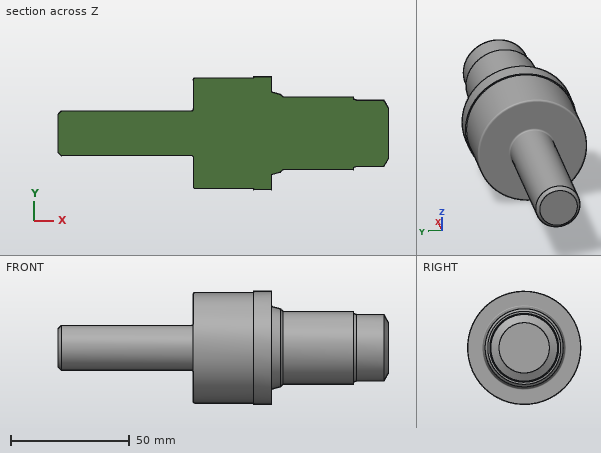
import cadquery as cq
import math

total_length = 139.7

shaft_radius = 9.525
shaft_length = 57.15
shaft_end_chamfer = 1.45
shaft_root_fillet = 0.7

body_radius = 23.42
body_length = 25.5
body_edge_fillet = 0.8
flange_radius = 23.94
flange_length = 7.6

collar_root_radius = 17.53
collar_tip_radius = 16.5
collar_length = 3.75
collar_root_fillet = 0.4

seat_radius = 15.42
seat_length = 30.9
collar_to_seat_length = 1.15
journal_radius = 14.1
neck_length = 1.25
neck_angle = 20.0
journal_chamfer_length = 2.0
journal_chamfer_angle = 60.0

shaft_end_x = -total_length / 2
body_face_x = shaft_end_x + shaft_length
flange_face_x = body_face_x + body_length
collar_face_x = flange_face_x + flange_length
collar_end_x = collar_face_x + collar_length
seat_end_x = collar_end_x + seat_length
journal_end_x = total_length / 2

neck_radius = journal_radius + neck_length * math.tan(math.radians(neck_angle))
journal_chamfer_depth = journal_chamfer_length * math.tan(math.radians(journal_chamfer_angle))

profile = (
    cq.Workplane("XY")
    .moveTo(shaft_end_x, 0)
    .lineTo(shaft_end_x, shaft_radius - shaft_end_chamfer)
    .lineTo(shaft_end_x + shaft_end_chamfer, shaft_radius)
    .lineTo(body_face_x, shaft_radius)
    .lineTo(body_face_x, body_radius)
    .lineTo(flange_face_x, body_radius)
    .lineTo(flange_face_x, flange_radius)
    .lineTo(collar_face_x, flange_radius)
    .lineTo(collar_face_x, collar_root_radius)
    .lineTo(collar_end_x, collar_tip_radius)
    .lineTo(collar_end_x + collar_to_seat_length, seat_radius)
    .lineTo(seat_end_x, seat_radius)
    .lineTo(seat_end_x, neck_radius)
    .lineTo(seat_end_x + neck_length, journal_radius)
    .lineTo(journal_end_x - journal_chamfer_length, journal_radius)
    .lineTo(journal_end_x, journal_radius - journal_chamfer_depth)
    .lineTo(journal_end_x, 0)
    .close()
)
spindle = profile.revolve(360, (0, 0, 0), (1, 0, 0))


def fillet_corner(solid, x, radius, fillet_radius):
    """Round the circular edge of the given radius at station x."""
    reach = 0.1
    ring_box = cq.selectors.BoxSelector(
        (x - reach, -radius - reach, -radius - reach),
        (x + reach, radius + reach, radius + reach),
        boundingbox=True,
    )
    ring = solid.edges(ring_box).edges(cq.selectors.RadiusNthSelector(-1))
    return ring.fillet(fillet_radius)


spindle = fillet_corner(spindle, body_face_x, shaft_radius, shaft_root_fillet)
spindle = fillet_corner(spindle, body_face_x, body_radius, body_edge_fillet)
spindle = fillet_corner(spindle, collar_face_x, collar_root_radius, collar_root_fillet)

result = spindle